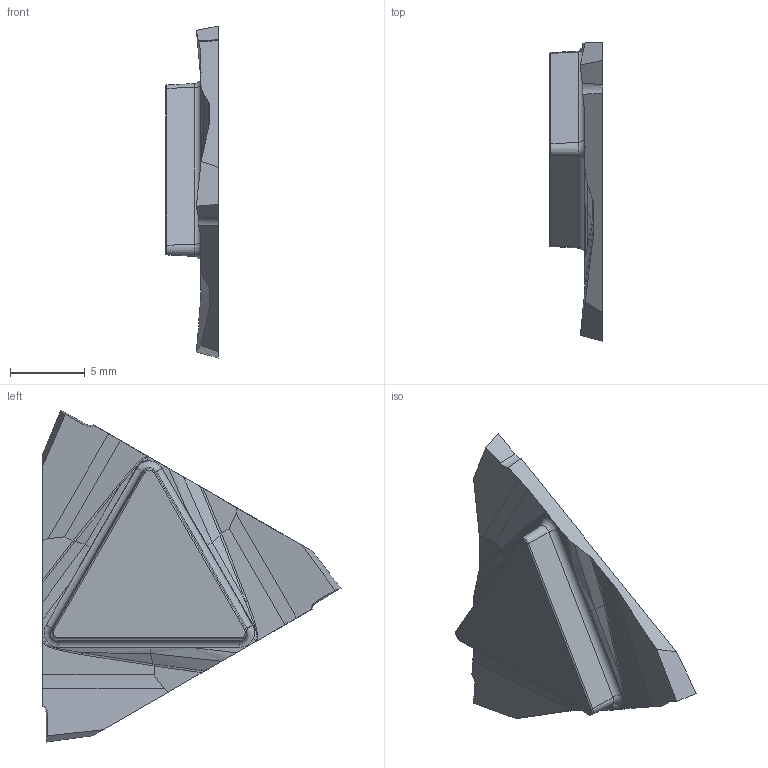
import math

import cadquery as cq


ARM_COUNT = 3
ARM_STEP = 360 / ARM_COUNT

wall_distance = 7.10
flank_angle = 180.0
corner_wall_angle = flank_angle + ARM_STEP
tip_x = -6.87
tip_y = -10.80
end_normal_angle = -82.3
end_relief = 15.0
flank_relief = 3.5
flank_round_radius = 0.74
flank_round_y = -8.97

total_height = 3.5
core_height = 1.15
floor_height = 0.59
blank_height = 1.7

rake_fall = 0.0755
land_inner_y = -4.2
band_inner_y = -6.33
band_outer_y = -7.24
band_rise = 0.055
rake_rise = 0.09
arm_outer_y = -12.0

core_wall_foot = ((-7.10, -5.63), (0.25, -5.65), (3.90, -6.15))
core_wall_crest = ((-7.10, -4.48), (0.00, -4.55), (5.20, -5.13))
core_crest_radius = 1.6
core_foot_radius = 0.3

boss_inradius = 3.92
boss_corner_radius = 0.43
boss_draft = 3.0
boss_root_radius = 0.45
boss_edge_radius = 0.08

foot_on_floor = (1.9, -5.87, floor_height)
foot_on_arm = (-3.3, -5.07, 0.87)
ground_width = 40.0
height_tolerance = 0.01


def direction(angle):
    return (math.cos(math.radians(angle)), math.sin(math.radians(angle)))


def meet(angle_a, distance_a, angle_b, distance_b):
    """Crossing of two lines, each given by its normal's angle and its distance from the axis."""
    ax, ay = direction(angle_a)
    bx, by = direction(angle_b)
    det = ax * by - ay * bx
    return ((distance_a * by - distance_b * ay) / det, (ax * distance_b - bx * distance_a) / det)


def turn(point, angle):
    c, s = direction(angle)
    return (point[0] * c - point[1] * s, point[0] * s + point[1] * c)


def line_through(start, end):
    """Normal angle (to the right of travel) and distance of the line from start to end."""
    angle = math.degrees(math.atan2(end[1] - start[1], end[0] - start[0])) - 90
    nx, ny = direction(angle)
    return angle, start[0] * nx + start[1] * ny


def arm_outline(height):
    """Outline points of one arm at a height: run-out start, middle, end, then tip and corner."""
    flank_inset = height * math.tan(math.radians(flank_relief))
    end_inset = height * math.tan(math.radians(end_relief))
    radius = flank_round_radius + flank_inset
    centre_x = tip_x - flank_round_radius
    sweep = math.acos((-wall_distance - centre_x) / radius)
    run_out = []
    for angle in (sweep, sweep / 2, 0):
        run_out.append((centre_x + radius * math.cos(angle), flank_round_y + radius * math.sin(angle)))
    end_nx, end_ny = direction(end_normal_angle)
    end_distance = tip_x * end_nx + tip_y * end_ny - end_inset
    tip = meet(flank_angle, -tip_x - flank_inset, end_normal_angle, end_distance)
    corner = meet(end_normal_angle, end_distance, corner_wall_angle, wall_distance)
    return run_out + [tip, corner]


def outline_wire(work, height):
    """Closed outline of the whole plate at a height, drawn on the given workplane."""
    work = work.moveTo(*turn(arm_outline(height)[-1], -ARM_STEP))
    for i in range(ARM_COUNT):
        start, middle, end, tip, corner = [turn(p, i * ARM_STEP) for p in arm_outline(height)]
        work = work.lineTo(*start).threePointArc(middle, end).lineTo(*tip)
        if i < ARM_COUNT - 1:
            work = work.lineTo(*corner)
    return work.close()


def make_blank():
    """Plate blank whose ends and tip flanks lean inwards from the back face."""
    work = outline_wire(cq.Workplane("XY"), 0)
    work = outline_wire(work.workplane(offset=blank_height), blank_height)
    return work.loft(ruled=True)


def make_arm():
    """Arm body: a rising profile pushed obliquely across the arm, so its surface falls sideways."""
    band_height = core_height + band_rise * (band_inner_y - band_outer_y)
    outer_height = band_height + rake_rise * (band_outer_y - arm_outer_y)
    length = 4 * wall_distance
    drop = length * rake_fall
    profile = [
        (land_inner_y, -drop),
        (land_inner_y, core_height),
        (band_inner_y, core_height),
        (band_outer_y, band_height),
        (arm_outer_y, outer_height),
        (arm_outer_y, -drop),
    ]
    start_x = -wall_distance
    wire = cq.Wire.makePolygon([cq.Vector(start_x, y, z) for y, z in profile], close=True)
    return cq.Workplane(cq.Solid.extrudeLinear(wire, [], cq.Vector(length, 0, -drop)))


def core_outline(bent_line):
    """Outline whose three sides are the bent line, turned about the axis and run on to its neighbours."""
    start, bend, end = bent_line
    near_angle, near_distance = line_through(start, bend)
    far_angle, far_distance = line_through(bend, end)
    corner = meet(far_angle, far_distance, near_angle + ARM_STEP, near_distance)
    return [turn(p, i * ARM_STEP) for i in range(ARM_COUNT) for p in (bend, corner)]


def make_core():
    """Raised middle of the plate, with a twisted wall sloping down to the floor beside each arm."""
    work = cq.Workplane("XY", origin=(0, 0, floor_height)).polyline(core_outline(core_wall_foot)).close()
    work = work.workplane(offset=core_height - floor_height).polyline(core_outline(core_wall_crest)).close()
    return work.loft(ruled=True).faces(">Z").edges().fillet(core_crest_radius)


def rounded_triangle(inradius, corner_radius, height, base=0.0, draft=0.0):
    """Triangle with one side facing -y, rounded at its corners and drafted inwards."""
    corners = [turn((0, 2 * (inradius - corner_radius)), i * ARM_STEP) for i in range(ARM_COUNT)]
    work = cq.Workplane("XY", origin=(0, 0, base)).polyline(corners).close().offset2D(corner_radius)
    return work.extrude(height, taper=draft)


def make_boss():
    """Drafted boss with its root fillet, standing on a column that reaches the back face."""
    height = total_height - core_height
    spread = height * math.tan(math.radians(boss_draft))
    root_inradius = boss_inradius + spread
    root_corner = boss_corner_radius + spread
    boss = rounded_triangle(root_inradius, root_corner, height, core_height, boss_draft)
    boss = boss.faces(">Z").edges().fillet(boss_edge_radius)
    ground = cq.Workplane("XY").rect(ground_width, ground_width).extrude(core_height)
    flared = ground.union(boss)
    reach = 2 * boss_inradius
    root_zone = cq.selectors.BoxSelector(
        (-reach, -reach, core_height - height_tolerance),
        (reach, reach, core_height + height_tolerance),
    )
    flared = flared.edges(root_zone).fillet(boss_root_radius)
    foot_inradius = root_inradius + boss_root_radius
    foot_corner = root_corner + boss_root_radius
    return flared.intersect(rounded_triangle(foot_inradius, foot_corner, total_height))


def round_core_foot(plate):
    """Fillet the valley where the core wall meets the floor and the arm surface."""
    valley_edges = []
    for i in range(ARM_COUNT):
        for x, y, z in (foot_on_floor, foot_on_arm):
            spot = turn((x, y), i * ARM_STEP) + (z,)
            valley_edges += plate.edges(cq.selectors.NearestToPointSelector(spot)).vals()
    return plate.newObject(valley_edges).fillet(core_foot_radius)


def make_part():
    """Plate and boss joined, then turned so that the boss faces -X."""
    floor = cq.Workplane("XY").rect(ground_width, ground_width).extrude(floor_height)
    surface = floor.union(make_core())
    arm = make_arm()
    for i in range(ARM_COUNT):
        surface = surface.union(arm.rotate((0, 0, 0), (0, 0, 1), i * ARM_STEP))
    body = round_core_foot(make_blank().intersect(surface)).union(make_boss())
    seat = cq.Plane(origin=(0, 0, 0), xDir=(0, -1, 0), normal=(-1, 0, 0))
    return body.val().moved(cq.Location(seat))


result = cq.Workplane(make_part())